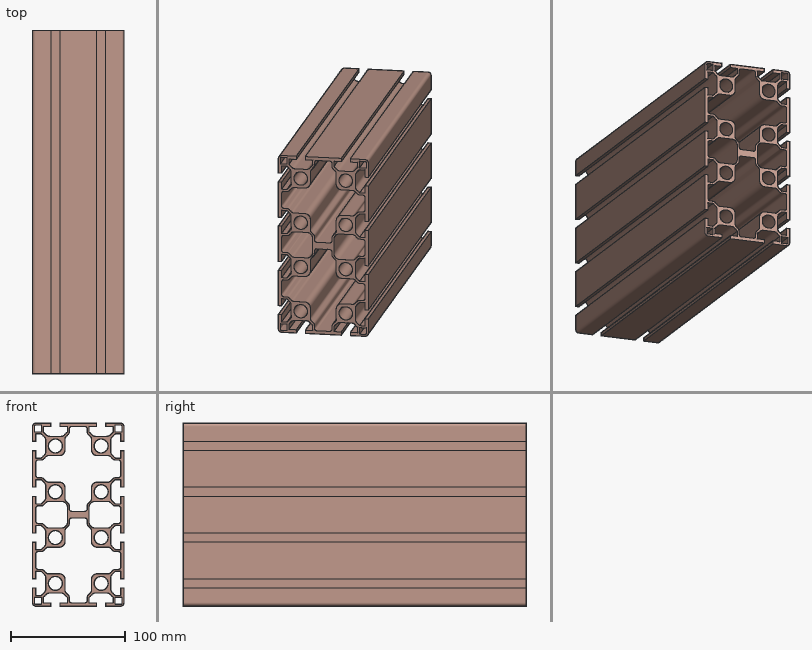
import cadquery as cq

MODULE = 80.0
LENGTH = 300.0
WIDTH = MODULE
HEIGHT = 2 * MODULE
OUTER_RADIUS = 3.0
FACE_THICKNESS = 3.0

PITCH = MODULE / 2
EDGE_TO_BOSS = PITCH / 2
BOSS_HALF = 8.5
BOSS_RADIUS = 5.0
BORE_DIAMETER = 12.0

SLOT_OPENING = 8.0
SLOT_HALF = 10.5
SLOT_DEPTH = EDGE_TO_BOSS - BOSS_HALF
SLOT_CHAMFER = 3.8
SLOT_FLOOR_RADIUS = 4.0

WALL = 1.8
ARM_HALF = EDGE_TO_BOSS - SLOT_HALF - WALL
CORE_HALF = EDGE_TO_BOSS - BOSS_HALF
ARM_END = MODULE / 2 - FACE_THICKNESS
ARM_SHOULDER = 27.3
ARM_NECK = ARM_SHOULDER + CORE_HALF - ARM_HALF
ARM_END_RADIUS = 2.0
SHOULDER_RADIUS = 3.0
MODULE_NECK_RADIUS = 3.0
WEB_NECK_RADIUS = 1.5
WEB_HOLLOW_RADIUS = 5.0

CORNER_WALL = 1.8
CORNER_HOLE_SIZE = EDGE_TO_BOSS - SLOT_HALF - WALL - CORNER_WALL
CORNER_HOLE_RADIUS = 1.0

TOLERANCE = 0.01
BOSS_XS = (-PITCH / 2, PITCH / 2)
BOSS_ZS = (-1.5 * PITCH, -PITCH / 2, PITCH / 2, 1.5 * PITCH)


def prism(points):
    """Extrude a closed XZ outline over the full length, centred on Y."""
    return cq.Workplane("XZ").polyline(points).close().extrude(LENGTH / 2, both=True)


def bar(size_x, size_z, x=0.0, z=0.0):
    """Rectangular bar over the full length."""
    return cq.Workplane("XY").box(size_x, LENGTH, size_z).translate((x, 0, z))


def turned(body, angle):
    """Turn a body about the Y axis."""
    return body.rotate((0, 0, 0), (0, 1, 0), angle)


def edges_at_height(height):
    """Selector for the full-length edges lying at one height."""
    return cq.selectors.BoxSelector(
        (-MODULE, -LENGTH, height - TOLERANCE),
        (MODULE, LENGTH, height + TOLERANCE),
        boundingbox=True,
    )


def t_slot():
    """T-slot opening toward +Z, with its mouth at z = 0."""
    shoulder = SLOT_DEPTH - SLOT_CHAMFER
    floor_half = SLOT_HALF - SLOT_CHAMFER
    cavity = prism([
        (-SLOT_HALF, -FACE_THICKNESS),
        (SLOT_HALF, -FACE_THICKNESS),
        (SLOT_HALF, -shoulder),
        (floor_half, -SLOT_DEPTH),
        (-floor_half, -SLOT_DEPTH),
        (-SLOT_HALF, -shoulder),
    ])
    cavity = cavity.edges("|Y").edges(edges_at_height(-SLOT_DEPTH)).fillet(SLOT_FLOOR_RADIUS)
    mouth = bar(SLOT_OPENING, 2 * FACE_THICKNESS)
    return cavity.union(mouth)


def hollow_arm(neck_radius):
    """Arm from the origin toward +Z that narrows past the bosses and ends at a plate."""
    taper = prism([
        (-CORE_HALF, 0),
        (CORE_HALF, 0),
        (CORE_HALF, ARM_SHOULDER),
        (ARM_HALF, ARM_NECK),
        (-ARM_HALF, ARM_NECK),
        (-CORE_HALF, ARM_SHOULDER),
    ])
    end = bar(2 * ARM_HALF, ARM_END, z=ARM_END / 2)
    end = end.edges("|Y and >Z").fillet(ARM_END_RADIUS)
    arm = taper.union(end)
    arm = arm.edges("|Y").edges(edges_at_height(ARM_SHOULDER)).fillet(SHOULDER_RADIUS)
    return arm.edges("|Y").edges(edges_at_height(ARM_NECK)).fillet(neck_radius)


def module_hollow():
    """Cross-shaped hollow centred on the origin, shaped around four rounded bosses."""
    hollow = bar(2 * CORE_HALF, 2 * CORE_HALF)
    for quarter in range(4):
        hollow = hollow.union(turned(hollow_arm(MODULE_NECK_RADIUS), 90 * quarter))
    around_core = cq.selectors.BoxSelector(
        (-PITCH / 2, -LENGTH, -PITCH / 2),
        (PITCH / 2, LENGTH, PITCH / 2),
    )
    return hollow.edges("|Y").edges(around_core).fillet(BOSS_RADIUS)


def web_hollow():
    """Closed hollow beside the web: an arm toward -X and a rounded end toward +X."""
    arm = turned(hollow_arm(WEB_NECK_RADIUS), -90)
    wall_x = -PITCH / 2 + SLOT_HALF
    web_end = bar(SLOT_HALF, 2 * CORE_HALF, x=wall_x - SLOT_HALF / 2)
    web_end = web_end.edges("|Y and >X").fillet(WEB_HOLLOW_RADIUS)
    beyond_bosses = bar(MODULE, MODULE, x=-PITCH / 2 - MODULE / 2)
    return arm.intersect(beyond_bosses).union(web_end)


def corner_hole():
    """Square hole in the +X +Z corner, rounded toward the outside."""
    centre_offset = CORNER_WALL + CORNER_HOLE_SIZE / 2
    hole = bar(CORNER_HOLE_SIZE, CORNER_HOLE_SIZE)
    hole = hole.edges("|Y and >X and >Z").fillet(CORNER_HOLE_RADIUS)
    return hole.translate((WIDTH / 2 - centre_offset, 0, HEIGHT / 2 - centre_offset))


def bores():
    """Through holes along the axis of every boss."""
    centres = [(x, z) for x in BOSS_XS for z in BOSS_ZS]
    plane = cq.Workplane("XZ").pushPoints(centres)
    return plane.circle(BORE_DIAMETER / 2).extrude(LENGTH / 2, both=True)


profile = bar(WIDTH, HEIGHT).edges("|Y").fillet(OUTER_RADIUS)

for angle in (0, 180):
    for x in BOSS_XS:
        end_slot = t_slot().translate((x, 0, HEIGHT / 2))
        profile = profile.cut(turned(end_slot, angle))
    for z in BOSS_ZS:
        side_slot = turned(t_slot(), 90).translate((WIDTH / 2, 0, z))
        profile = profile.cut(turned(side_slot, angle))
    upper_hollow = module_hollow().translate((0, 0, MODULE / 2))
    profile = profile.cut(turned(upper_hollow, angle))
    profile = profile.cut(turned(web_hollow(), angle))
    upper_corner = corner_hole()
    profile = profile.cut(turned(upper_corner, angle))
    profile = profile.cut(turned(upper_corner.mirror("YZ"), angle))

result = profile.cut(bores())